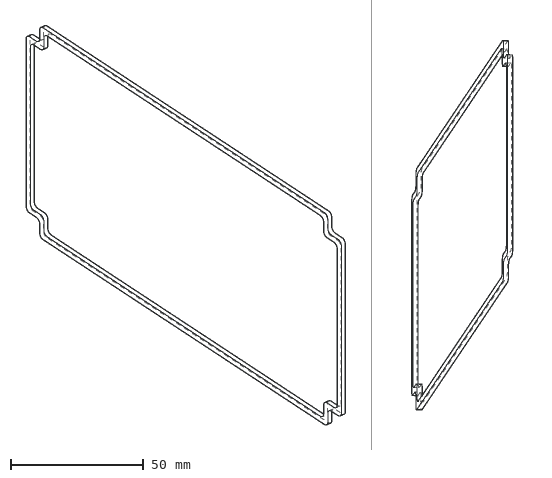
import cadquery as cq

LENGTH = 186.0
THICKNESS = 2.0
HEIGHT = 95.0

STRIP_WIDTH = 2.5
CORNER_NOTCH = 8.0
CORNER_RADIUS = 2.0


def notched_plate(length, height):
    """Rectangular plate in the XZ plane with a notch at each corner and all corners rounded."""
    wide_bar = cq.Workplane("XZ").box(length, height - 2 * CORNER_NOTCH, THICKNESS)
    tall_bar = cq.Workplane("XZ").box(length - 2 * CORNER_NOTCH, height, THICKNESS)
    return wide_bar.union(tall_bar).edges("|Y").fillet(CORNER_RADIUS)


outer_plate = notched_plate(LENGTH, HEIGHT)
opening = notched_plate(LENGTH - 2 * STRIP_WIDTH, HEIGHT - 2 * STRIP_WIDTH)

result = outer_plate.cut(opening)